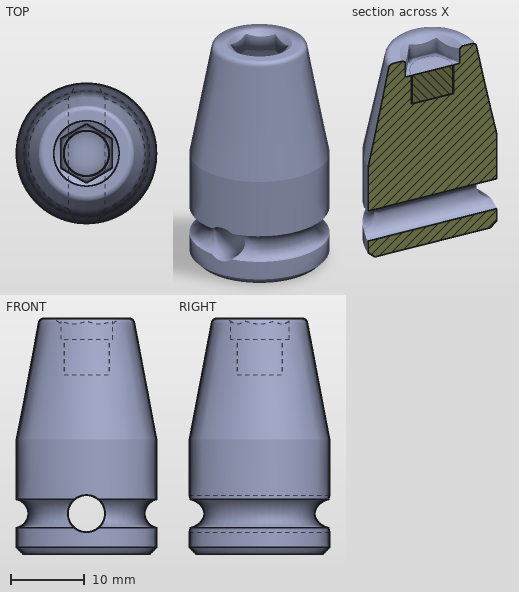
import cadquery as cq

height = 32.0
body_radius = 9.5
cone_base_z = 15.6
nose_radius = 6.5
nose_round_height = 0.6
nose_face_radius = 5.82
base_chamfer = 1.0

groove_z = 5.55
groove_width = 3.85
groove_depth = 1.6
cross_hole_diameter = 5.0

hex_across_flats = 6.95
hex_corner_round = 0.25
hex_depth = 2.8
mouth_diameter = 8.85
mouth_depth = 0.75

magnet_radius = 3.05
magnet_clearance = 0.05
magnet_length = 4.8

hex_floor_z = height - hex_depth
magnet_seat_z = hex_floor_z - magnet_length


def revolved_blank():
    """Chamfered base, grooved cylinder, cone and rounded nose in one profile."""
    groove_bottom = groove_z - groove_width / 2
    groove_top = groove_z + groove_width / 2
    cone_top_z = height - nose_round_height
    return (
        cq.Workplane("XZ")
        .lineTo(body_radius - base_chamfer, 0)
        .lineTo(body_radius, base_chamfer)
        .lineTo(body_radius, groove_bottom)
        .threePointArc((body_radius - groove_depth, groove_z), (body_radius, groove_top))
        .lineTo(body_radius, cone_base_z)
        .lineTo(nose_radius, cone_top_z)
        .tangentArcPoint((nose_face_radius, height), relative=False)
        .lineTo(0, height)
        .close()
        .revolve(360, (0, 0), (0, 1))
    )


def cross_hole():
    """Round hole through the socket along Y."""
    return (
        cq.Workplane("XZ")
        .center(0, groove_z)
        .circle(cross_hole_diameter / 2)
        .extrude(body_radius, both=True)
    )


def hex_recess():
    """Hexagon with corners on the Y axis and slightly rounded corner edges."""
    return (
        cq.Workplane("XY")
        .workplane(offset=hex_floor_z)
        .polygon(6, hex_across_flats, circumscribed=True)
        .extrude(hex_depth)
        .edges("|Z")
        .fillet(hex_corner_round)
    )


def mouth_cone():
    """Lead-in cone that narrows to the flats of the hexagon."""
    narrow_end = cq.Vector(0, 0, height - mouth_depth)
    cone = cq.Solid.makeCone(hex_across_flats / 2, mouth_diameter / 2, mouth_depth, pnt=narrow_end)
    return cq.Workplane(cone)


def magnet_cylinder(radius):
    """Cylinder from the magnet seat up to the floor of the hexagon."""
    return cq.Workplane("XY").workplane(offset=magnet_seat_z).circle(radius).extrude(magnet_length)


def make_socket():
    return (
        revolved_blank()
        .cut(cross_hole())
        .cut(hex_recess())
        .cut(mouth_cone())
        .cut(magnet_cylinder(magnet_radius + magnet_clearance))
    )


def make_magnet():
    return magnet_cylinder(magnet_radius)


socket = make_socket()
magnet = make_magnet()

result = cq.Compound.makeCompound([socket.val(), magnet.val()])